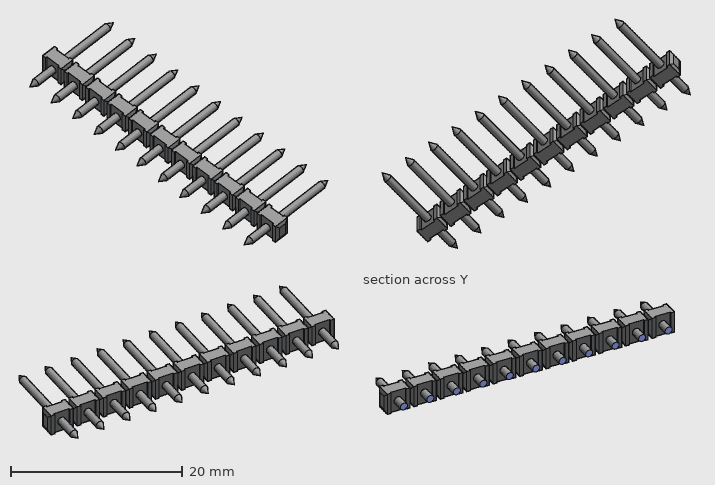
import cadquery as cq

pin_count = 11
pitch = 3.5
pin_diameter = 1.0
pin_front_y = -7.0
pin_back_y = 7.0
tip_length = 1.0

block_width = 3.0
block_depth = 2.0
block_height = 2.8
block_center_y = -2.3

groove_width = 2.0
groove_depth = 0.2

taper_length = 0.2
taper_inset = 0.5
taper_end_depth = block_depth - 2 * taper_inset
taper_end_height = block_height - 2 * taper_inset
neck_length = pitch - block_width - 2 * taper_length

block_front_y = block_center_y - block_depth / 2
block_back_y = block_center_y + block_depth / 2
first_x = -pitch * (pin_count - 1) / 2
last_x = -first_x


def make_pin():
    """Round pin with a conical point at each end, turned about the Y axis."""
    radius = pin_diameter / 2
    half_profile = [
        (0, pin_front_y),
        (radius, pin_front_y + tip_length),
        (radius, pin_back_y - tip_length),
        (0, pin_back_y),
    ]
    return cq.Workplane("XY").polyline(half_profile).close().revolve(360, (0, 0), (0, 1))


def make_taper(side):
    """Tapered block end; side is +1 for the +X end and -1 for the -X end."""
    root = cq.Workplane("YZ", origin=(side * block_width / 2, block_center_y, 0))
    return (
        root.rect(block_depth, block_height)
        .workplane(offset=side * taper_length)
        .rect(taper_end_depth, taper_end_height)
        .loft(ruled=True)
    )


def make_groove(face_y):
    """Cutter centred on a block face, reaching groove_depth into it."""
    return cq.Workplane("XY").box(groove_width, 2 * groove_depth, block_height).translate((0, face_y, 0))


def make_block():
    """Grooved block with its two tapered ends."""
    block = cq.Workplane("XY").box(block_width, block_depth, block_height)
    block = block.translate((0, block_center_y, 0))
    block = block.cut(make_groove(block_front_y))
    block = block.cut(make_groove(block_back_y))
    return block.union(make_taper(1)).union(make_taper(-1))


def make_neck():
    """Short bar that bridges the gap between two neighbouring blocks."""
    neck = cq.Workplane("XY").box(neck_length, taper_end_depth, taper_end_height)
    return neck.translate((pitch / 2, block_center_y, 0))


position = make_block().union(make_pin())
linked_position = position.union(make_neck())

result = position.translate((last_x, 0, 0))
for index in range(pin_count - 1):
    result = result.union(linked_position.translate((first_x + pitch * index, 0, 0)))